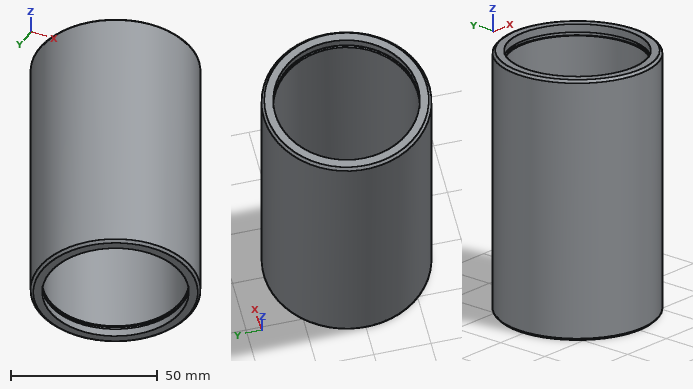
import cadquery as cq

length = 95.0
outer_diameter = 57.95
bore_diameter = 50.0
edge_chamfer = 0.95

groove_diameter = 51.5
groove_width = 1.3
groove_offset = 2.9


def bore_groove(bottom):
    """Disc that cuts a groove into the bore wall, starting at the given height."""
    return cq.Workplane("XY").workplane(offset=bottom).circle(groove_diameter / 2).extrude(groove_width)


sleeve = cq.Workplane("XY").circle(outer_diameter / 2).extrude(length)
sleeve = sleeve.faces("<Z or >Z").edges().chamfer(edge_chamfer)
sleeve = sleeve.faces(">Z").workplane().hole(bore_diameter)

for groove_bottom in (groove_offset, length - groove_offset - groove_width):
    sleeve = sleeve.cut(bore_groove(groove_bottom))

result = sleeve